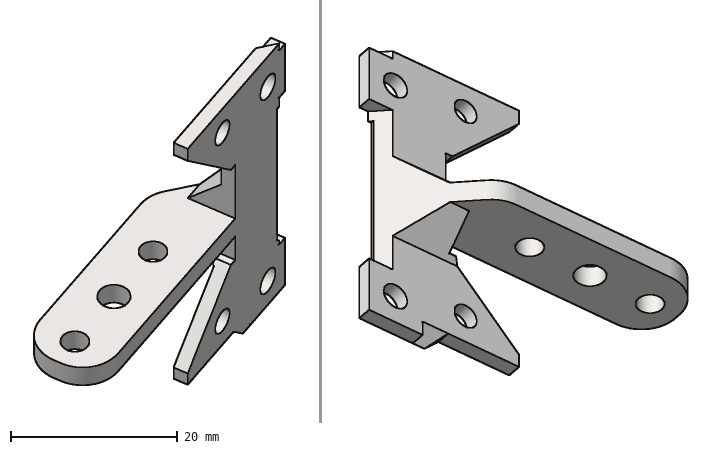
import cadquery as cq

width = 11.0
length = 43.5
height = 42.0

plate_thickness = 2.0
plate_face = width - plate_thickness
web_front = 32.0
wing_root = 31.0
wing_tip = 21.05
wing_slope = wing_root - wing_tip
upper_wing_root = 30.0
lower_wing_root = 13.95
lower_wing_bottom = 2.1

rear_step = 42.2
rear_recess = 41.67
recess_bottom = 9.15
recess_top = 31.3
bevel_front = 30.1
bevel_slope = (rear_step - bevel_front) / width

ear_height = 8.0
ear_bottoms = (0, 32.85)

foot_front = 33.75
foot_step = 35.5

arm_bottom = 17.92
arm_thickness = 3.05
arm_top = arm_bottom + arm_thickness
arm_tip_radius = 5.0
arm_bevel_radius = arm_tip_radius
gusset_reach = 4.7

hole_diameter = 3.5
arm_middle_diameter = 4.0
wing_hole_diameter = 3.3
arm_first_hole = 4.05
arm_hole_pitch = 9.0
ear_hole_y = 39.55
ear_hole_heights = (4.05, 36.9)
wing_hole_y = 29.05
wing_hole_heights = (6.1, 37.98)


def make_plate():
    """Plate with 45 degree gussets, trimmed to its side outline."""
    recess_depth = rear_step - rear_recess
    side_outline = [
        (foot_front, 0),
        (foot_front - lower_wing_bottom, lower_wing_bottom),
        (wing_tip, lower_wing_bottom),
        (wing_tip, lower_wing_root - wing_slope),
        (wing_root, lower_wing_root),
        (web_front, lower_wing_root),
        (web_front, upper_wing_root),
        (wing_root, upper_wing_root),
        (wing_tip, upper_wing_root + wing_slope),
        (wing_tip, height),
        (rear_step, height),
        (rear_step, recess_top),
        (rear_recess, recess_top),
        (rear_recess, recess_bottom),
        (rear_step, recess_bottom - recess_depth),
        (rear_step, 0),
    ]
    gusset_face = plate_face - gusset_reach
    end_outline = [
        (width, 0),
        (plate_face, 0),
        (plate_face, arm_bottom - gusset_reach),
        (gusset_face, arm_bottom),
        (gusset_face, arm_top),
        (plate_face, arm_top + gusset_reach),
        (plate_face, height),
        (width, height),
    ]
    side = cq.Workplane("YZ").polyline(side_outline).close().extrude(width)
    end = cq.Workplane("XZ").polyline(end_outline).close().extrude(-length)
    return side.intersect(end)


def make_rear_bevel():
    """Material removed behind the slanted bevel plane."""
    outline = [(0, bevel_front), (width, rear_step), (0, rear_step)]
    return cq.Workplane("XY").polyline(outline).close().extrude(height)


def make_foot_bevel():
    """Material removed under the front of the foot, sloping down to the back face."""
    outline = [(plate_face, 0), (width, 0), (plate_face, lower_wing_bottom)]
    return cq.Workplane("XZ").polyline(outline).close().extrude(-foot_step)


def make_arm():
    """Flat arm with a rounded tip and a bevelled, rounded rear corner."""
    outline = [
        (0, 0),
        (width, 0),
        (width, rear_recess),
        ((rear_recess - bevel_front) / bevel_slope, rear_recess),
        (0, bevel_front),
    ]
    arm = cq.Workplane("XY").workplane(offset=arm_bottom).polyline(outline).close().extrude(arm_thickness)
    arm = arm.edges("|Z and <Y").fillet(arm_tip_radius)
    rear_corner = cq.selectors.NearestToPointSelector((0, bevel_front, arm_bottom + arm_thickness / 2))
    return arm.edges("|Z").edges(rear_corner).fillet(arm_bevel_radius)


def make_ear(bottom):
    ear_size = (plate_thickness, length - foot_step, ear_height)
    return cq.Workplane("XY").box(*ear_size, centered=False).translate((plate_face, foot_step, bottom))


def plate_hole(y, z, diameter):
    return cq.Workplane("YZ").center(y, z).circle(diameter / 2).extrude(width)


def arm_hole(y, diameter):
    return cq.Workplane("XY").center(width / 2, y).circle(diameter / 2).extrude(height)


result = make_plate().cut(make_rear_bevel()).cut(make_foot_bevel()).union(make_arm())

for ear_bottom in ear_bottoms:
    result = result.union(make_ear(ear_bottom))

for hole_height in ear_hole_heights:
    result = result.cut(plate_hole(ear_hole_y, hole_height, hole_diameter))

for hole_height in wing_hole_heights:
    result = result.cut(plate_hole(wing_hole_y, hole_height, wing_hole_diameter))

for index, diameter in enumerate((hole_diameter, arm_middle_diameter, hole_diameter)):
    result = result.cut(arm_hole(arm_first_hole + index * arm_hole_pitch, diameter))